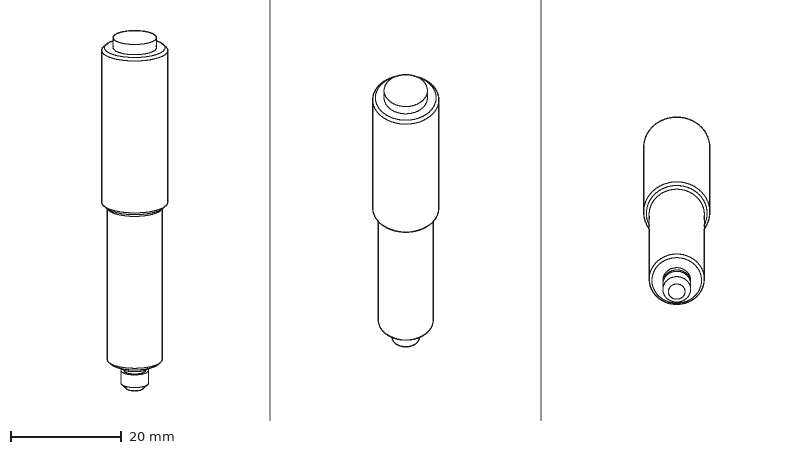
import cadquery as cq

overall_length = 67.0
upper_diameter = 12.0
lower_diameter = 10.0
sleeve_length = 30.0
sleeve_chamfer = 0.5

head_diameter = 7.85
tip_length = 5.0
tip_diameter = 5.0
tip_chamfer = 1.0
groove_diameter = 3.95
groove_width = 0.6
groove_offset = 1.0

lower_base = tip_length
joint_height = lower_base + sleeve_length
groove_base = lower_base - groove_offset - groove_width


def cylinder(diameter, base, length):
    """Upright cylinder on the Z axis, starting at height base."""
    return cq.Workplane("XY").workplane(offset=base).circle(diameter / 2).extrude(length)


def make_sleeve(outer_diameter, bore_diameter, base):
    """Tube with both outer rims chamfered and a plain through bore."""
    barrel = cylinder(outer_diameter, base, sleeve_length).edges("%CIRCLE").chamfer(sleeve_chamfer)
    return barrel.cut(cylinder(bore_diameter, base, sleeve_length))


def make_pin():
    """Stepped pin: thick in the upper sleeve, thin in the lower one, with a grooved tip."""
    shank = cylinder(tip_diameter, 0, joint_height).faces("<Z").edges().chamfer(tip_chamfer)
    head = cylinder(head_diameter, joint_height, overall_length - joint_height)
    groove_core = cylinder(groove_diameter, groove_base, groove_width)
    groove_ring = cylinder(tip_diameter, groove_base, groove_width).cut(groove_core)
    return shank.union(head).cut(groove_ring)


upper_sleeve = make_sleeve(upper_diameter, head_diameter, joint_height)
lower_sleeve = make_sleeve(lower_diameter, tip_diameter, lower_base)
pin = make_pin()

result = cq.Compound.makeCompound([upper_sleeve.val(), lower_sleeve.val(), pin.val()])